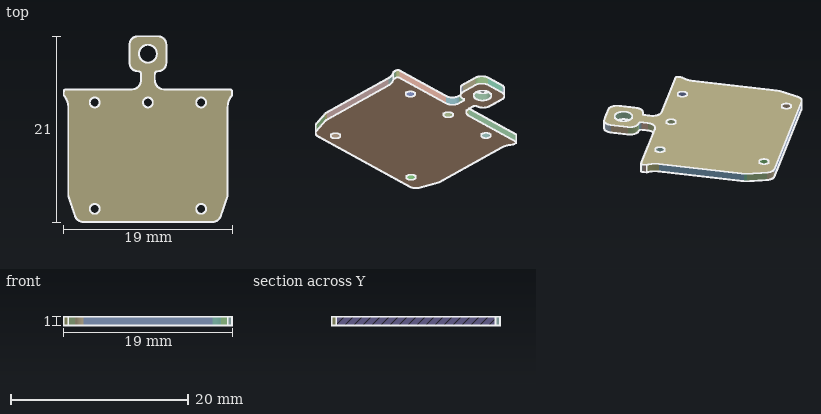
import cadquery as cq
import math

thickness = 1.0
overall_length = 21.0
corner_radius = 1.0

plate_length = 15.0
plate_half_width = 9.0
bottom_half_width = 8.0
taper_height = 2.96

ear_half_width = 9.502
ear_edge_length = 0.7
ear_corner_radius = 0.25
ear_flare_radius = 2.0

tab_width = 4.2
tab_length = 4.0
tab_hole_diameter = 2.0
neck_width = 1.6
neck_top_radius = 0.27

hole_diameter = 1.1
hole_half_spacing = 6.0
lower_hole_y = 1.5
upper_hole_y = 13.5

ear_bottom_y = plate_length - ear_edge_length
flare_angle = math.acos(1 - (ear_half_width - plate_half_width) / ear_flare_radius)
flare_start_y = ear_bottom_y - ear_flare_radius * math.sin(flare_angle)
flare_mid = (
    plate_half_width + ear_flare_radius * (1 - math.cos(flare_angle / 2)),
    flare_start_y + ear_flare_radius * math.sin(flare_angle / 2),
)

tab_bottom_y = overall_length - tab_length
tab_center_y = overall_length - tab_length / 2


def round_corners(body, points, radius):
    """Round the vertical edges at the given points and at their mirror images."""
    reach = 0.02
    for x, y in points:
        for side in (-1, 1):
            selector = cq.selectors.BoxSelector(
                (side * x - reach, y - reach, -reach),
                (side * x + reach, y + reach, thickness + reach),
            )
            body = body.edges("|Z").edges(selector).fillet(radius)
    return body


def make_blank():
    """Sharp-cornered outline, drawn on the +X side and mirrored."""
    outline = (
        cq.Workplane("XY")
        .lineTo(bottom_half_width, 0)
        .lineTo(plate_half_width, taper_height)
        .lineTo(plate_half_width, flare_start_y)
        .threePointArc(flare_mid, (ear_half_width, ear_bottom_y))
        .lineTo(ear_half_width, plate_length)
        .lineTo(neck_width / 2, plate_length)
        .lineTo(neck_width / 2, tab_bottom_y)
        .lineTo(tab_width / 2, tab_bottom_y)
        .lineTo(tab_width / 2, overall_length)
        .lineTo(0, overall_length)
        .mirrorY()
    )
    return outline.extrude(thickness)


def drill(body, centers, diameter):
    """Cut round holes through the full thickness."""
    return body.cut(cq.Workplane("XY").pushPoints(centers).circle(diameter / 2).extrude(thickness))


large_corners = [
    (bottom_half_width, 0),
    (plate_half_width, taper_height),
    (neck_width / 2, plate_length),
    (tab_width / 2, tab_bottom_y),
    (tab_width / 2, overall_length),
]
small_hole_centers = [
    (-hole_half_spacing, lower_hole_y),
    (hole_half_spacing, lower_hole_y),
    (-hole_half_spacing, upper_hole_y),
    (0, upper_hole_y),
    (hole_half_spacing, upper_hole_y),
]

result = make_blank()
result = round_corners(result, large_corners, corner_radius)
result = round_corners(result, [(ear_half_width, plate_length)], ear_corner_radius)
result = round_corners(result, [(neck_width / 2, tab_bottom_y)], neck_top_radius)
result = drill(result, small_hole_centers, hole_diameter)
result = drill(result, [(0, tab_center_y)], tab_hole_diameter)